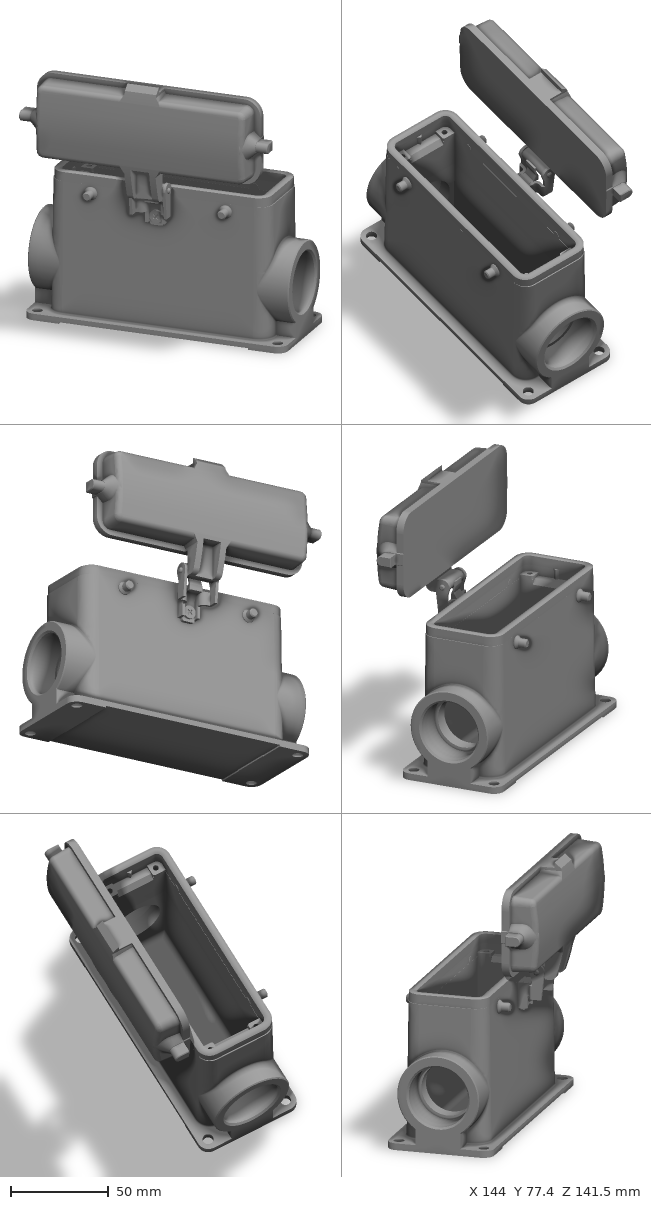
import cadquery as cq
import math

BASE_LENGTH = 144.0
BASE_WIDTH = 56.7
BASE_THICKNESS = 3.6
BASE_CORNER_RADIUS = 5.8
FOOT_HEIGHT = 0.9
FOOT_INNER_X = 52.1
MOUNT_HOLE_DIAMETER = 5.6
MOUNT_HOLE_X = 66.2
MOUNT_HOLE_Y = 22.8

SHELL_TOP = 81.0
RIM_BOTTOM = 75.3
SHELL_LENGTH = 122.7
SHELL_WIDTH = 45.2
SHELL_RADIUS = 8.6
SHELL_DRAFT = 0.8
CROWN_HEIGHT = 0.6
FOOT_FILLET = 0.7

MOUTH_LENGTH = 111.5
MOUTH_WIDTH = 35.1
MOUTH_RADIUS = 3.5
MOUTH_DRAFT = 2.0
RIM_THICKNESS = 4.0
RIM_LENGTH = MOUTH_LENGTH + 2 * RIM_THICKNESS
RIM_WIDTH = MOUTH_WIDTH + 2 * RIM_THICKNESS
RIM_RADIUS = MOUTH_RADIUS + RIM_THICKNESS
LEDGE_TOP = 70.1
CAVITY_LENGTH = 97.6
CAVITY_WIDTH = 34.5
CAVITY_DRAFT_TOP = 48.2
CAVITY_FLOOR = 4.3
CAVITY_DRAFT = 1.4
FLOOR_FILLET = 2.9
LEDGE_BEVEL = 2.6
SCREW_POST_TOP = 72.0
SCREW_POST_WIDTH = 7.3
SCREW_POST_RADIUS = 1.2
SCREW_X = 52.3
SCREW_Y = 13.5
SCREW_HOLE_DIAMETER = 3.0
SCREW_HOLE_DEPTH = 11.5
KEY_WIDTH = 3.2
KEY_DEPTH = 1.5

ENTRY_Z = 30.0
ENTRY_OUTER_DIAMETER = 44.0
ENTRY_BORE = 32.0
ENTRY_BORE_DEPTH = 16.1
ENTRY_BORE_CHAMFER = 1.0
ENTRY_THROUGH = 28.0
ENTRY_CHAMFER = 0.6
ENTRY_INNER_X = 51.8
ENTRY_FILLET = 0.6
WEB_WIDTH = 24.2

PEG_X = 37.2
PEG_Z = 70.8
PEG_DIAMETER = 4.8
PEG_TIP_Y = 27.8
PEG_CHAMFER = 0.6
COLLAR_DIAMETER = 7.0
COLLAR_TIP_Y = 23.5

SHEET = 1.6
HINGE_Y = -33.3
HINGE_Z = 82.5
PIN_DIAMETER = 3.0
PIN_LENGTH = 22.5
PIN_CHAMFER = 0.6
EAR_RADIUS = 4.0
EAR_BEND_RADIUS = 1.5
EAR_OUTER_X = 10.2
EAR_FOOT_FRONT_Y = -35.5
EAR_NECK_Z = 77.8
BRACKET_BOTTOM = 67.7
BRACKET_TOP = 74.9
FLANGE_BACK_Y = -29.1
BEND_RADIUS = 1.6
LEG_OUTER_X = 5.3
LEG_BOTTOM = 61.2
LEG_LOWER_Y = -26.5
WALL_SINK_Y = -20.2
TONGUE_WIDTH = 7.3
TONGUE_BOTTOM = 59.3
TONGUE_FRONT_Y = -23.9
TONGUE_BEND_RADIUS = 3.7
TONGUE_EDGE_Y = -31.4
TONGUE_EDGE_TOP = 77.2
TONGUE_LIP_Y = -29.8
TONGUE_LIP_BEND = 81.5
TONGUE_LIP_TOP = 84.1
TONGUE_SHEET = 0.9
TONGUE_CORNER_RADIUS = 1.2
BRACKET_SCREW_DIAMETER = 7.0
BRACKET_SCREW_Z = 64.4
BRACKET_SCREW_FRONT_Y = -25.2
CROSS_LENGTH = 3.5
CROSS_WIDTH = 0.9
CROSS_DEPTH = 0.6

COVER_LENGTH = 123.3
COVER_BOTTOM = 92.5
COVER_TOP = 138.7
COVER_BACK_Y = -30.8
COVER_RIM_FRONT_Y = -34.8
COVER_RIM_RADIUS = 9.0
DOME_LENGTH = 116.4
DOME_INSET = 2.9
DOME_RADIUS = 4.3
DOME_EDGE_RADIUS = 2.9
DOME_DRAFT = 4.0
FRONT_CREST_Y = -49.0
FRONT_CREST_Z = 114.3
FRONT_BULGE_RADIUS = 100.8
BAND_HALF_WIDTH = 8.6
BAND_FLARE = 2.5
BAND_FLARE_HEIGHT = 4.2
HOOK_TIP_Y = -42.5
HOOK_TIP_Z = 141.5
LUG_BACK_Y = -37.2
LUG_BOTTOM = 78.6
LUG_TIP_RADIUS = 3.6
LUG_SLOT_WIDTH = 10.4
LUG_SLOT_TOP = 96.3
LUG_SLOT_FLOOR_Y = -38.9
LUG_SLOT_FILLET = 1.6
KNUCKLE_RADIUS = 3.2

STUD_DIAMETER = 5.6
STUD_Y = -40.2
STUD_TIP_X = 68.4
STUD_CHAMFER = 0.5
STUD_BOSS_TIP_X = 62.0
STUD_BOSS_SMALL_RADIUS = 3.0
STUD_BOSS_LARGE_RADIUS = 9.0
STUD_BOSS_INNER_X = 55.5

SIDES = (-1, 1)


def block(x0, x1, y0, y1, z0, z1):
    """Axis-aligned box between two opposite corners."""
    size = (x1 - x0, y1 - y0, z1 - z0)
    return cq.Workplane("XY").box(*size, centered=False).translate((x0, y0, z0))


def rounded_prism(length, width, radius, z0, z1, draft=0.0):
    """Upright prism with rounded corners, narrowing upward by the draft angle."""
    sketch = cq.Sketch().rect(length, width).vertices().fillet(radius)
    return cq.Workplane("XY").workplane(offset=z0).placeSketch(sketch).extrude(z1 - z0, taper=draft)


def rod_x(diameter, x0, x1, y, z):
    """Cylinder along X."""
    return cq.Workplane("YZ", origin=(x0, y, z)).circle(diameter / 2).extrude(x1 - x0)


def profile_x(points, half_width):
    """Closed polygon of (y, z) points, extruded symmetrically about X = 0."""
    return cq.Workplane("YZ").polyline(points).close().extrude(half_width, both=True)


def make_base():
    base = rounded_prism(BASE_LENGTH, BASE_WIDTH, BASE_CORNER_RADIUS, 0, BASE_THICKNESS)
    relief = cq.Workplane("XY").rect(2 * FOOT_INNER_X, BASE_WIDTH).extrude(FOOT_HEIGHT)
    return base.cut(relief)


def mount_holes():
    return (
        cq.Workplane("XY")
        .rect(2 * MOUNT_HOLE_X, 2 * MOUNT_HOLE_Y, forConstruction=True)
        .vertices()
        .circle(MOUNT_HOLE_DIAMETER / 2)
        .extrude(BASE_THICKNESS)
    )


def make_shell():
    wall = rounded_prism(
        SHELL_LENGTH, SHELL_WIDTH, SHELL_RADIUS, BASE_THICKNESS, RIM_BOTTOM, SHELL_DRAFT
    )
    rim = rounded_prism(RIM_LENGTH, RIM_WIDTH, RIM_RADIUS, RIM_BOTTOM, SHELL_TOP - CROWN_HEIGHT)
    return wall.union(rim)


def make_crown():
    """Shallow rounded bead along the top of the rim, swept around the mouth."""
    half = RIM_THICKNESS / 2
    base_z = SHELL_TOP - CROWN_HEIGHT
    centre_width = MOUTH_WIDTH + RIM_THICKNESS
    centre_line = (
        rounded_prism(MOUTH_LENGTH + RIM_THICKNESS, centre_width, MOUTH_RADIUS + half, base_z, SHELL_TOP)
        .faces("<Z")
        .wires()
    )
    return (
        cq.Workplane("YZ", origin=(0, -centre_width / 2, base_z))
        .moveTo(-half, 0)
        .threePointArc((0, CROWN_HEIGHT), (half, 0))
        .close()
        .sweep(cq.Workplane(centre_line.val()), transition="round")
    )


def add_cable_bosses(shell):
    """Round boss on each end of the shell, blended into the wall."""
    end_x = BASE_LENGTH / 2
    boss = rod_x(ENTRY_OUTER_DIAMETER, ENTRY_INNER_X, end_x, 0, ENTRY_Z)
    boss = boss.faces(">X").edges().chamfer(ENTRY_CHAMFER)
    for side in SIDES:
        shell = shell.union(boss if side > 0 else boss.mirror("YZ"))
    for side in SIDES:
        seam = cq.selectors.BoxSelector(
            (side * ENTRY_INNER_X, -SHELL_WIDTH / 2, BASE_THICKNESS),
            (side * (SHELL_LENGTH + 1.5) / 2, SHELL_WIDTH / 2, RIM_BOTTOM),
        )
        shell = shell.edges(seam).edges("%BSPLINE or %ELLIPSE").fillet(ENTRY_FILLET)
    return shell


def make_web(side):
    """Upright support between the base and one cable boss."""
    end_x = BASE_LENGTH / 2
    web = block(ENTRY_INNER_X, end_x, -WEB_WIDTH / 2, WEB_WIDTH / 2, 0, ENTRY_Z - ENTRY_BORE / 2)
    return web if side > 0 else web.mirror("YZ")


def entry_bores():
    """Stepped cable passage through both ends, bevelled at the mouths."""
    end_x = BASE_LENGTH / 2
    bore = rod_x(ENTRY_BORE, end_x - ENTRY_BORE_DEPTH, end_x, 0, ENTRY_Z)
    mouth = cq.Workplane(
        cq.Solid.makeCone(
            ENTRY_BORE / 2 + ENTRY_BORE_CHAMFER,
            ENTRY_BORE / 2,
            ENTRY_BORE_CHAMFER,
            cq.Vector(end_x, 0, ENTRY_Z),
            cq.Vector(-1, 0, 0),
        )
    )
    bore = bore.union(mouth)
    passage = rod_x(ENTRY_THROUGH, -end_x, end_x, 0, ENTRY_Z)
    return passage.union(bore).union(bore.mirror("YZ"))


def make_cavity():
    """Space inside the shell: wide mouth above the end ledges, narrower well below."""
    mouth = rounded_prism(MOUTH_LENGTH, MOUTH_WIDTH, MOUTH_RADIUS, RIM_BOTTOM, SHELL_TOP)
    neck = rounded_prism(MOUTH_LENGTH, MOUTH_WIDTH, MOUTH_RADIUS, -RIM_BOTTOM, -LEDGE_TOP, MOUTH_DRAFT)
    neck = neck.mirror("XY")
    well = (
        cq.Workplane("XY", origin=(0, 0, CAVITY_DRAFT_TOP))
        .rect(CAVITY_LENGTH, CAVITY_WIDTH)
        .extrude(CAVITY_FLOOR - CAVITY_DRAFT_TOP, taper=CAVITY_DRAFT)
    )
    well = well.faces("<Z").edges().fillet(FLOOR_FILLET)
    throat = (
        cq.Workplane("XY", origin=(0, 0, CAVITY_DRAFT_TOP))
        .rect(CAVITY_LENGTH, CAVITY_WIDTH)
        .extrude(LEDGE_TOP - CAVITY_DRAFT_TOP)
    )
    half = CAVITY_LENGTH / 2
    bevel = (
        cq.Workplane("XZ")
        .polyline(
            [
                (-half - LEDGE_BEVEL, LEDGE_TOP),
                (half + LEDGE_BEVEL, LEDGE_TOP),
                (half, LEDGE_TOP - LEDGE_BEVEL),
                (-half, LEDGE_TOP - LEDGE_BEVEL),
            ]
        )
        .close()
        .extrude(MOUTH_WIDTH / 2 - SCREW_POST_WIDTH, both=True)
    )
    return mouth.union(neck).union(throat).union(well).union(bevel)


def make_screw_post(side_x, side_y):
    """Corner post on an end ledge, with a blind screw hole."""
    post = block(
        CAVITY_LENGTH / 2,
        MOUTH_LENGTH / 2 + RIM_THICKNESS / 2,
        MOUTH_WIDTH / 2 - SCREW_POST_WIDTH,
        MOUTH_WIDTH / 2 + RIM_THICKNESS / 2,
        LEDGE_TOP,
        SCREW_POST_TOP,
    )
    post = post.faces("<X").edges("|Z and <Y").fillet(SCREW_POST_RADIUS)
    if side_x < 0:
        post = post.mirror("YZ")
    return post if side_y > 0 else post.mirror("XZ")


def screw_holes():
    return (
        cq.Workplane("XY", origin=(0, 0, SCREW_POST_TOP))
        .rect(2 * SCREW_X, 2 * SCREW_Y, forConstruction=True)
        .vertices()
        .circle(SCREW_HOLE_DIAMETER / 2)
        .extrude(-SCREW_HOLE_DEPTH)
    )


def make_key_rib(side):
    """Small triangular rib in the middle of an end wall."""
    wall_x = side * MOUTH_LENGTH / 2
    return (
        cq.Workplane("XY", origin=(0, 0, LEDGE_TOP))
        .polyline([(wall_x, -KEY_WIDTH / 2), (wall_x, KEY_WIDTH / 2), (wall_x - side * KEY_DEPTH, 0)])
        .close()
        .extrude(RIM_BOTTOM - LEDGE_TOP)
    )


def make_peg(x, side):
    """Locking peg on a long wall, with a conical collar at its root."""
    root_y = CAVITY_WIDTH / 2
    wall_y = RIM_WIDTH / 2
    peg = (
        cq.Workplane("XY")
        .moveTo(0, root_y)
        .lineTo(PEG_DIAMETER / 2, root_y)
        .lineTo(PEG_DIAMETER / 2, wall_y - PEG_CHAMFER)
        .lineTo(COLLAR_DIAMETER / 2, wall_y - PEG_CHAMFER)
        .lineTo(COLLAR_DIAMETER / 2, wall_y + PEG_CHAMFER)
        .lineTo(PEG_DIAMETER / 2, COLLAR_TIP_Y)
        .lineTo(PEG_DIAMETER / 2, PEG_TIP_Y - PEG_CHAMFER)
        .lineTo(PEG_DIAMETER / 2 - PEG_CHAMFER, PEG_TIP_Y)
        .lineTo(0, PEG_TIP_Y)
        .close()
        .revolve(360, (0, 0, 0), (0, 1, 0))
    )
    if side < 0:
        peg = peg.mirror("XZ")
    return peg.translate((x, 0, PEG_Z))


def make_bracket_side(side):
    """Leg, flange and pin ear on one side of the hinge bracket."""
    flange_front_y = FLANGE_BACK_Y - SHEET
    leg_inner_x = LEG_OUTER_X - SHEET
    ear_inner_x = EAR_OUTER_X - SHEET
    leg = block(leg_inner_x, LEG_OUTER_X, flange_front_y, WALL_SINK_Y, BRACKET_BOTTOM, BRACKET_TOP)
    leg = leg.union(
        block(leg_inner_x, LEG_OUTER_X, LEG_LOWER_Y, WALL_SINK_Y, LEG_BOTTOM, BRACKET_BOTTOM)
    )
    flange = block(
        leg_inner_x, EAR_OUTER_X, flange_front_y, FLANGE_BACK_Y, BRACKET_BOTTOM, BRACKET_TOP
    )
    ear = (
        cq.Workplane("YZ", origin=(ear_inner_x, 0, 0))
        .moveTo(flange_front_y, BRACKET_BOTTOM)
        .lineTo(EAR_FOOT_FRONT_Y, BRACKET_BOTTOM)
        .lineTo(HINGE_Y - EAR_RADIUS, HINGE_Z)
        .threePointArc((HINGE_Y, HINGE_Z + EAR_RADIUS), (HINGE_Y + EAR_RADIUS, HINGE_Z))
        .lineTo(flange_front_y, EAR_NECK_Z)
        .close()
        .extrude(SHEET)
    )
    half = leg.union(flange)
    for x, y, radius in (
        (leg_inner_x, flange_front_y, BEND_RADIUS + SHEET),
        (LEG_OUTER_X, FLANGE_BACK_Y, BEND_RADIUS),
        (EAR_OUTER_X, FLANGE_BACK_Y, EAR_BEND_RADIUS),
    ):
        corner = cq.selectors.NearestToPointSelector((x, y, (BRACKET_BOTTOM + BRACKET_TOP) / 2))
        half = half.edges("|Z").edges(corner).fillet(radius)
    half = half.union(ear)
    return half if side > 0 else half.mirror("YZ")


def make_bracket_tongue():
    """Spring strip: down the wall, forward as a shelf, and up behind the hinge knuckle."""
    shelf_bottom = BRACKET_TOP - TONGUE_SHEET
    bend_start_z = shelf_bottom - TONGUE_BEND_RADIUS
    bend_mid = TONGUE_BEND_RADIUS * (1 - math.sqrt(0.5))
    strip = (
        cq.Workplane("YZ")
        .moveTo(WALL_SINK_Y, TONGUE_BOTTOM)
        .lineTo(TONGUE_FRONT_Y, TONGUE_BOTTOM)
        .lineTo(TONGUE_FRONT_Y, bend_start_z)
        .threePointArc(
            (TONGUE_FRONT_Y - bend_mid, shelf_bottom - bend_mid),
            (TONGUE_FRONT_Y - TONGUE_BEND_RADIUS, shelf_bottom),
        )
        .lineTo(TONGUE_EDGE_Y, shelf_bottom)
        .lineTo(TONGUE_EDGE_Y, TONGUE_EDGE_TOP)
        .lineTo(TONGUE_LIP_Y, TONGUE_LIP_BEND)
        .lineTo(TONGUE_LIP_Y, TONGUE_LIP_TOP)
        .lineTo(TONGUE_LIP_Y + TONGUE_SHEET, TONGUE_LIP_TOP)
        .lineTo(TONGUE_LIP_Y + TONGUE_SHEET, TONGUE_LIP_BEND)
        .lineTo(FLANGE_BACK_Y - TONGUE_SHEET, EAR_NECK_Z)
        .lineTo(FLANGE_BACK_Y + TONGUE_SHEET, BRACKET_TOP)
        .lineTo(WALL_SINK_Y, BRACKET_TOP)
        .close()
        .extrude(TONGUE_WIDTH / 2, both=True)
    )
    strip = strip.edges("|Y and <Z").fillet(TONGUE_CORNER_RADIUS)
    screw = (
        cq.Workplane("XZ", origin=(0, WALL_SINK_Y, BRACKET_SCREW_Z))
        .circle(BRACKET_SCREW_DIAMETER / 2)
        .extrude(WALL_SINK_Y - BRACKET_SCREW_FRONT_Y)
    )
    for angle in (45, 135):
        slot = (
            cq.Workplane("XZ", origin=(0, BRACKET_SCREW_FRONT_Y, BRACKET_SCREW_Z))
            .transformed(rotate=(0, 0, angle))
            .rect(CROSS_LENGTH, CROSS_WIDTH)
            .extrude(-CROSS_DEPTH)
        )
        screw = screw.cut(slot)
    return strip.union(screw)


def make_hinge_pin():
    pin = rod_x(PIN_DIAMETER, -PIN_LENGTH / 2, PIN_LENGTH / 2, HINGE_Y, HINGE_Z)
    return pin.faces("<X or >X").edges().chamfer(PIN_CHAMFER)


def make_housing():
    shell = add_cable_bosses(make_shell())
    housing = make_base().union(shell)
    foot = cq.selectors.BoxSelector(
        (-SHELL_LENGTH / 2 - 1.5, -SHELL_WIDTH / 2 - 1.5, BASE_THICKNESS - FOOT_FILLET),
        (SHELL_LENGTH / 2 + 1.5, SHELL_WIDTH / 2 + 1.5, BASE_THICKNESS + FOOT_FILLET),
    )
    housing = housing.edges(foot).fillet(FOOT_FILLET)
    for side in SIDES:
        housing = housing.union(make_web(side))
    housing = housing.cut(make_cavity()).cut(entry_bores()).cut(mount_holes())
    housing = housing.union(make_crown())
    for side_x in SIDES:
        housing = housing.union(make_key_rib(side_x))
        for side_y in SIDES:
            housing = housing.union(make_screw_post(side_x, side_y))
            housing = housing.union(make_peg(side_x * PEG_X, side_y))
    housing = housing.cut(screw_holes())
    for side in SIDES:
        housing = housing.union(make_bracket_side(side))
    return housing.union(make_bracket_tongue()).union(make_hinge_pin())


COVER_MID_Z = (COVER_BOTTOM + COVER_TOP) / 2


def cover_slab(length, height, radius, y_back, y_front, draft=0.0):
    """Rounded rectangle centred on the cover, extruded toward -Y and narrowing by the draft angle."""
    sketch = cq.Sketch().rect(length, height).vertices().fillet(radius)
    plane = cq.Workplane("XZ", origin=(0, y_back, COVER_MID_Z))
    return plane.placeSketch(sketch).extrude(y_back - y_front, taper=draft)


def front_y(z):
    """Y of the bulged cover front at a given height."""
    drop = FRONT_BULGE_RADIUS - math.sqrt(FRONT_BULGE_RADIUS**2 - (z - FRONT_CREST_Z) ** 2)
    return FRONT_CREST_Y + drop


def bulge_envelope():
    """Everything behind the bulged front, from the lug tip to the cover top."""
    return (
        cq.Workplane("YZ")
        .moveTo(COVER_BACK_Y, LUG_BOTTOM)
        .lineTo(front_y(LUG_BOTTOM), LUG_BOTTOM)
        .threePointArc((FRONT_CREST_Y, FRONT_CREST_Z), (front_y(COVER_TOP), COVER_TOP))
        .lineTo(COVER_BACK_Y, COVER_TOP)
        .close()
        .extrude(STUD_TIP_X, both=True)
    )


def make_dome():
    height = COVER_TOP - COVER_BOTTOM - 2 * DOME_INSET
    dome = cover_slab(
        DOME_LENGTH, height, DOME_RADIUS, COVER_RIM_FRONT_Y, FRONT_CREST_Y - DOME_INSET, DOME_DRAFT
    )
    dome = dome.intersect(bulge_envelope())
    return dome.faces("<Y").edges().fillet(DOME_EDGE_RADIUS)


def make_band():
    """Centre band across the cover front, running down into the hinge lug."""
    flared = BAND_HALF_WIDTH + BAND_FLARE
    flare_low = COVER_BOTTOM + DOME_INSET / 2
    flare_high = COVER_TOP - DOME_INSET / 2
    right = [
        (BAND_HALF_WIDTH, LUG_BOTTOM),
        (BAND_HALF_WIDTH, flare_low),
        (flared, flare_low + BAND_FLARE_HEIGHT),
        (flared, flare_high - BAND_FLARE_HEIGHT),
        (BAND_HALF_WIDTH, flare_high),
        (BAND_HALF_WIDTH, COVER_TOP),
    ]
    left = [(-x, z) for x, z in reversed(right)]
    band = (
        cq.Workplane("XZ", origin=(0, COVER_BACK_Y, 0))
        .polyline(right + left)
        .close()
        .extrude(COVER_BACK_Y - FRONT_CREST_Y)
        .intersect(bulge_envelope())
    )
    gap = block(-flared, flared, LUG_BACK_Y, COVER_BACK_Y, LUG_BOTTOM, COVER_BOTTOM)
    band = band.cut(gap)
    return band.faces("<Z").edges("<Y").fillet(LUG_TIP_RADIUS)


def make_hook():
    """Finger hook along the top edge of the band."""
    return profile_x(
        [(HOOK_TIP_Y, COVER_TOP), (HOOK_TIP_Y, HOOK_TIP_Z), (front_y(COVER_TOP), COVER_TOP)],
        BAND_HALF_WIDTH,
    )


def make_knuckle():
    """Hinge knuckle around the pin, joined to the back of the lug."""
    width = 2 * BAND_HALF_WIDTH
    knuckle = rod_x(2 * KNUCKLE_RADIUS, -width / 2, width / 2, HINGE_Y, HINGE_Z)
    bridge = block(
        -width / 2, width / 2, LUG_BACK_Y, HINGE_Y, HINGE_Z - KNUCKLE_RADIUS, HINGE_Z + KNUCKLE_RADIUS
    )
    return knuckle.union(bridge)


def lug_slot():
    half = LUG_SLOT_WIDTH / 2
    slot = block(-half, half, FRONT_CREST_Y, LUG_SLOT_FLOOR_Y, LUG_BOTTOM, LUG_SLOT_TOP)
    return slot.faces(">Z").edges(">Y").fillet(LUG_SLOT_FILLET)


def make_stud(side):
    """Locking stud on one end of the cover, on a flared boss."""
    boss_length = STUD_BOSS_TIP_X - STUD_BOSS_INNER_X
    cone = cq.Workplane(
        cq.Solid.makeCone(
            STUD_BOSS_LARGE_RADIUS,
            STUD_BOSS_SMALL_RADIUS,
            boss_length,
            cq.Vector(STUD_BOSS_INNER_X, STUD_Y, COVER_MID_Z),
            cq.Vector(1, 0, 0),
        )
    )
    ramp = (
        cq.Workplane("XZ", origin=(0, COVER_BACK_Y, COVER_MID_Z))
        .polyline(
            [
                (STUD_BOSS_INNER_X, -STUD_BOSS_LARGE_RADIUS),
                (STUD_BOSS_TIP_X, -STUD_BOSS_SMALL_RADIUS),
                (STUD_BOSS_TIP_X, STUD_BOSS_SMALL_RADIUS),
                (STUD_BOSS_INNER_X, STUD_BOSS_LARGE_RADIUS),
            ]
        )
        .close()
        .extrude(COVER_BACK_Y - STUD_Y)
    )
    pin = rod_x(STUD_DIAMETER, STUD_BOSS_INNER_X, STUD_TIP_X, STUD_Y, COVER_MID_Z)
    flat = block(
        STUD_BOSS_INNER_X,
        STUD_TIP_X,
        STUD_Y,
        COVER_RIM_FRONT_Y,
        COVER_MID_Z - STUD_DIAMETER / 2,
        COVER_MID_Z + STUD_DIAMETER / 2,
    )
    pin = pin.union(flat).faces(">X").edges().chamfer(STUD_CHAMFER)
    stud = cone.union(ramp).union(pin)
    stud = stud.intersect(bulge_envelope())
    return stud if side > 0 else stud.mirror("YZ")


def make_cover():
    height = COVER_TOP - COVER_BOTTOM
    cover = cover_slab(COVER_LENGTH, height, COVER_RIM_RADIUS, COVER_BACK_Y, COVER_RIM_FRONT_Y)
    cover = cover.union(make_dome()).union(make_band()).union(make_hook()).union(make_knuckle())
    for side in SIDES:
        cover = cover.union(make_stud(side))
    cover = cover.cut(lug_slot())
    return cover.cut(rod_x(PIN_DIAMETER, -PIN_LENGTH / 2, PIN_LENGTH / 2, HINGE_Y, HINGE_Z))


housing = make_housing()
cover = make_cover()
result = cq.Compound.makeCompound([housing.solids().val(), cover.solids().val()])